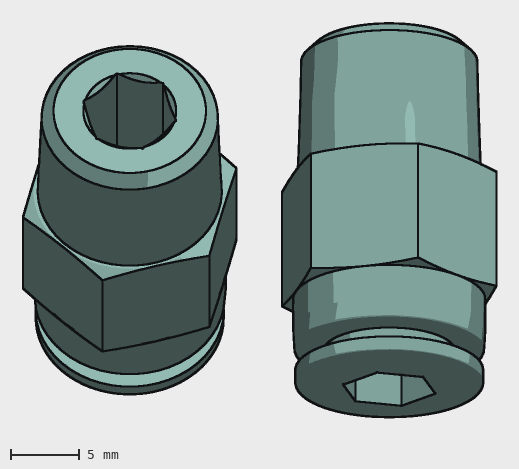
import cadquery as cq
import math

total_height = 26.4
flange_rim_z = 0.42
flange_top_z = 1.48
body_bottom_z = 2.95
body_taper_z = 4.5
nut_bottom_z = 7.0
nut_top_z = 16.42

flange_radius = 13.7 / 2
flange_bottom_radius = 4.67
flange_edge_round = 0.18
neck_radius = 9.6 / 2
neck_fillet = 0.4
body_radius = 14.0 / 2
body_end_radius = 13.8 / 2
body_edge_round = 0.26

stub_base_radius = 6.7
stub_chamfer = 0.87
stub_diameter_taper = 1 / 16
stub_taper_length = total_height - stub_chamfer - nut_top_z
stub_tip_radius = stub_base_radius - stub_taper_length * stub_diameter_taper / 2

nut_across_flats = 2 * body_radius
nut_corner_drop = 0.26

bore_across_flats = 6.02
bore_mouth_radius = 3.38
bore_countersink_depth = 0.4


def hexagon_corner_radius(across_flats):
    return across_flats / math.sqrt(3)


def hexagon_prism(across_flats, bottom_z, top_z):
    """Vertical hexagonal prism with two corners on the X axis."""
    corner_diameter = 2 * hexagon_corner_radius(across_flats)
    base = cq.Workplane("XY").workplane(offset=bottom_z)
    return base.polygon(6, corner_diameter).extrude(top_z - bottom_z)


def revolve_outline(points):
    """Solid of revolution about Z from (radius, height) points."""
    return cq.Workplane("XZ").polyline(points).close().revolve(360, (0, 0), (0, 1))


def make_flange():
    flange = revolve_outline([
        (0, 0),
        (flange_bottom_radius, 0),
        (flange_radius, flange_rim_z),
        (flange_radius, flange_top_z),
        (0, flange_top_z),
    ])
    rim_margin = 0.03
    rim = cq.selectors.BoxSelector(
        (-body_radius, -body_radius, flange_rim_z - rim_margin),
        (body_radius, body_radius, flange_rim_z + rim_margin),
        boundingbox=True,
    )
    return flange.edges(rim).fillet(flange_edge_round)


def make_neck():
    """Neck that flares in a concave fillet onto the flange."""
    return (
        cq.Workplane("XZ")
        .moveTo(0, flange_top_z)
        .lineTo(neck_radius + neck_fillet, flange_top_z)
        .radiusArc((neck_radius, flange_top_z + neck_fillet), neck_fillet)
        .lineTo(neck_radius, body_bottom_z)
        .lineTo(0, body_bottom_z)
        .close()
        .revolve(360, (0, 0), (0, 1))
    )


def make_body():
    body = revolve_outline([
        (0, body_bottom_z),
        (body_end_radius, body_bottom_z),
        (body_radius, body_taper_z),
        (body_radius, nut_bottom_z),
        (0, nut_bottom_z),
    ])
    return body.faces("<Z").edges().fillet(body_edge_round)


def make_nut():
    """Hexagon whose corners are trimmed by a shallow cone at both ends."""
    corner_radius = hexagon_corner_radius(nut_across_flats)
    trim = revolve_outline([
        (0, nut_bottom_z),
        (nut_across_flats / 2, nut_bottom_z),
        (corner_radius, nut_bottom_z + nut_corner_drop),
        (corner_radius, nut_top_z - nut_corner_drop),
        (nut_across_flats / 2, nut_top_z),
        (0, nut_top_z),
    ])
    return hexagon_prism(nut_across_flats, nut_bottom_z, nut_top_z).intersect(trim)


def make_stub():
    return revolve_outline([
        (0, nut_top_z),
        (stub_base_radius, nut_top_z),
        (stub_tip_radius, total_height - stub_chamfer),
        (stub_tip_radius - stub_chamfer, total_height),
        (0, total_height),
    ])


def make_bore():
    """Through hexagon with corners on the Y axis and a conical mouth."""
    hexagon = hexagon_prism(bore_across_flats, 0, total_height).rotate((0, 0, 0), (0, 0, 1), 30)
    countersink = revolve_outline([
        (0, total_height - bore_countersink_depth),
        (bore_across_flats / 2, total_height - bore_countersink_depth),
        (bore_mouth_radius, total_height),
        (0, total_height),
    ])
    return hexagon.union(countersink)


outside = make_flange().union(make_neck()).union(make_body()).union(make_nut()).union(make_stub())
result = outside.cut(make_bore())